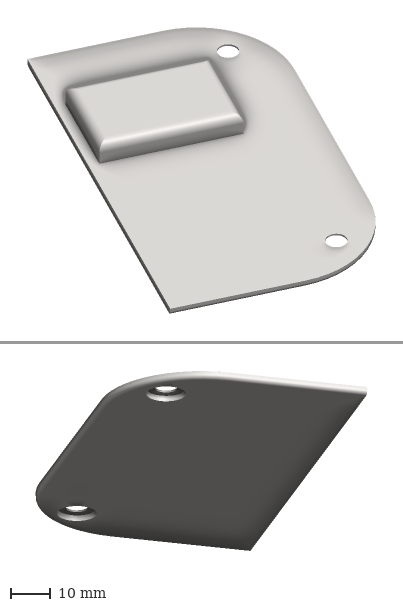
import cadquery as cq

plate_width = 110.0
plate_depth = 62.0
plate_thickness = 2.0
corner_radius = 26.0
underside_fillet = 1.0

hole_diameter = 5.6
hole_inset = 13.3
counterbore_diameter = 10.0
lip_thickness = 0.5
counterbore_depth = plate_thickness - lip_thickness

pad_width = 26.0
pad_depth = 38.3
pad_left = 21.1
pad_front = 2.85
pad_fillet = 2.6
total_height = 8.0
pad_height = total_height - plate_thickness


def make_plate():
    """Plate with its lower rim rounded on every side except the straight front edge."""
    plate = (
        cq.Workplane("XY")
        .rect(plate_width, plate_depth)
        .extrude(plate_thickness)
        .edges("|Z and >Y")
        .fillet(corner_radius)
    )
    lower_rim = plate.faces("<Z").edges("not <Y")
    return lower_rim.fillet(underside_fillet)


def make_pad():
    """Rectangular pad with a rounded top rim and sharp vertical corners."""
    center_x = -plate_width / 2 + pad_left + pad_width / 2
    center_y = -plate_depth / 2 + pad_front + pad_depth / 2
    return (
        cq.Workplane("XY", origin=(center_x, center_y, plate_thickness))
        .rect(pad_width, pad_depth)
        .extrude(pad_height)
        .faces(">Z")
        .edges()
        .fillet(pad_fillet)
    )


def drill_holes(body):
    """Cut the two mirrored through holes, each counterbored from the underside."""
    hole_x = plate_width / 2 - hole_inset
    hole_y = plate_depth / 2 - hole_inset
    centers = cq.Workplane("XY").pushPoints([(-hole_x, hole_y), (hole_x, hole_y)])
    holes = centers.circle(hole_diameter / 2).extrude(plate_thickness)
    counterbores = centers.circle(counterbore_diameter / 2).extrude(counterbore_depth)
    return body.cut(holes).cut(counterbores)


result = drill_holes(make_plate()).union(make_pad())